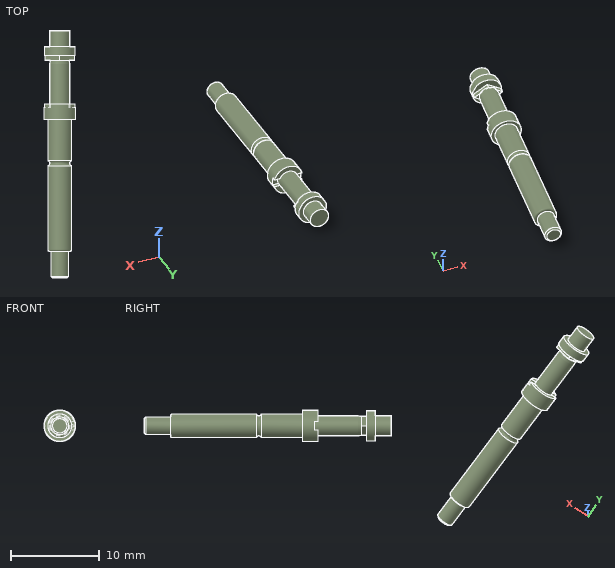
import cadquery as cq
import math

LENGTH = 28.1
TAIL_Y = LENGTH / 2
TIP_Y = -LENGTH / 2

flange_radius = 1.8
collar_radius = 1.75
barrel_radius = 1.35
shaft_radius = 1.15
neck_radius = 1.1
plunger_radius = 1.0

tail_length = 1.83
collar_width = 1.0
lozenge_width = 0.53
neck_taper_length = 0.42
shaft_length = 4.52
flange_width = 1.8
plunger_length = 3.0

groove_y = -1.0
groove_arc_radius = 0.3
groove_bottom_radius = 1.15

barrel_fillet = 0.2
plunger_chamfer = 0.2

lozenge_half_width = 1.7
lozenge_half_height = 1.1

slot_height = 0.93
slot_depth = 0.42
flat_low_z = slot_height / 2
flat_high_z = 1.2

collar_back_y = TAIL_Y - tail_length
collar_front_y = collar_back_y - collar_width
lozenge_front_y = collar_front_y - lozenge_width
shaft_back_y = lozenge_front_y - neck_taper_length
flange_back_y = shaft_back_y - shaft_length
flange_front_y = flange_back_y - flange_width
plunger_back_y = TIP_Y + plunger_length


def cylinder(radius, back_y, front_y):
    """Round section about the Y axis, from back_y down to front_y."""
    return cq.Workplane("XZ", origin=(0, back_y, 0)).circle(radius).extrude(back_y - front_y)


def cone(back_radius, front_radius, back_y, front_y):
    """Tapered section about the Y axis."""
    profile = [(0, back_y), (back_radius, back_y), (front_radius, front_y), (0, front_y)]
    return cq.Workplane("XY").polyline(profile).close().revolve(360, (0, 0), (0, 1))


def make_collar():
    """Collar with one flat on each upper side."""
    flat_low_x = math.sqrt(collar_radius**2 - flat_low_z**2)
    flat_high_x = math.sqrt(collar_radius**2 - flat_high_z**2)
    return (
        cq.Workplane("XZ", origin=(0, collar_back_y, 0))
        .moveTo(flat_low_x, flat_low_z)
        .lineTo(flat_high_x, flat_high_z)
        .threePointArc((0, collar_radius), (-flat_high_x, flat_high_z))
        .lineTo(-flat_low_x, flat_low_z)
        .threePointArc((0, -collar_radius), (flat_low_x, flat_low_z))
        .close()
        .extrude(collar_width)
    )


def make_lozenge():
    """Diamond-shaped prism between the collar and the neck."""
    corners = [
        (lozenge_half_width, 0),
        (0, lozenge_half_height),
        (-lozenge_half_width, 0),
        (0, -lozenge_half_height),
    ]
    outline = cq.Workplane("XZ", origin=(0, collar_front_y, 0)).polyline(corners).close()
    return outline.extrude(lozenge_width)


def make_flange():
    """Flange slotted across its rear face."""
    slot = cq.Workplane("XY").box(2 * flange_radius, slot_depth, slot_height)
    slot = slot.translate((0, flange_back_y - slot_depth / 2, 0))
    return cylinder(flange_radius, flange_back_y, flange_front_y).cut(slot)


def make_barrel():
    """Barrel with a rounded front edge and a round-bottomed groove."""
    body = cylinder(barrel_radius, flange_front_y, plunger_back_y)
    body = body.faces("<Y").edges().fillet(barrel_fillet)
    arc_center_radius = groove_bottom_radius + groove_arc_radius
    center = cq.Vector(0, groove_y, 0)
    axis = cq.Vector(0, 1, 0)
    groove = cq.Workplane(cq.Solid.makeTorus(arc_center_radius, groove_arc_radius, center, axis))
    return body.cut(groove)


tail = cylinder(shaft_radius, TAIL_Y, collar_back_y)
neck = cone(neck_radius, shaft_radius, lozenge_front_y, shaft_back_y)
shaft = cylinder(shaft_radius, shaft_back_y, flange_front_y)
barrel = make_barrel()
plunger = cylinder(plunger_radius, plunger_back_y, TIP_Y)
plunger = plunger.faces("<Y").edges().chamfer(plunger_chamfer)

result = tail
for section in (make_collar(), make_lozenge(), neck, shaft, make_flange(), barrel, plunger):
    result = result.union(section)